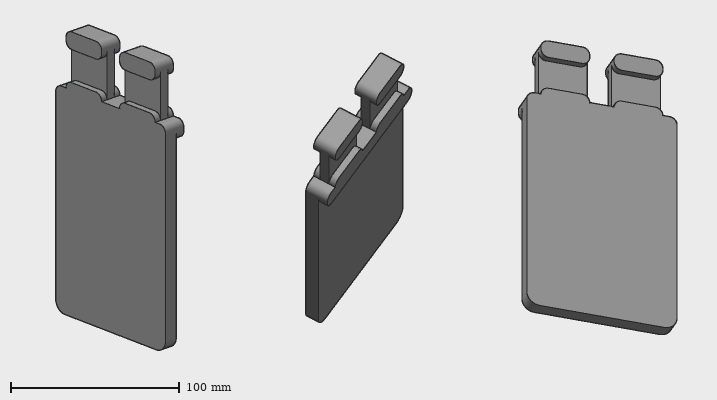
import cadquery as cq

width = 95.0
depth = 15.2
height = 182.5

plate_thickness = 9.0
bottom_corner_radius = 8.0

shoulder_z = 145.3
rail_height = 11.9

tab_width = 30.9
tab_gap = 15.3
web_thickness = 6.2
head_height = 11.3
pad_rise = 4.7

edge_radius = 5.0

front_y = -depth / 2
tab_offset = (tab_gap + tab_width) / 2
pad_top_z = shoulder_z + pad_rise


def block(center_x, size_x, start_y, size_y, bottom_z, top_z):
    """Box given by its X centre, its front face and its Z range."""
    size_z = top_z - bottom_z
    corner = (center_x - size_x / 2, start_y, bottom_z)
    return cq.Workplane("XY").box(size_x, size_y, size_z, centered=False).translate(corner)


def rounded_bar(center_x, size_x, bottom_z, top_z):
    """Full-depth bar with its four edges along Y rounded."""
    return block(center_x, size_x, front_y, depth, bottom_z, top_z).edges("|Y").fillet(edge_radius)


def make_plate():
    plate = block(0, width, front_y, plate_thickness, 0, shoulder_z)
    plate = plate.edges("|Y and <Z").fillet(bottom_corner_radius)
    return plate.edges("|Y and >Z").fillet(edge_radius)


def make_tab(center_x):
    pad = rounded_bar(center_x, tab_width, pad_top_z - head_height, pad_top_z)
    head = rounded_bar(center_x, tab_width, height - head_height, height)
    web_bottom_z = shoulder_z - rail_height / 2
    web_top_z = height - head_height / 2
    web = block(center_x, tab_width, -web_thickness / 2, web_thickness, web_bottom_z, web_top_z)
    return pad.union(web).union(head)


rail = rounded_bar(0, width, shoulder_z - rail_height, shoulder_z)
result = make_plate().union(rail)
for side in (-1, 1):
    result = result.union(make_tab(side * tab_offset))